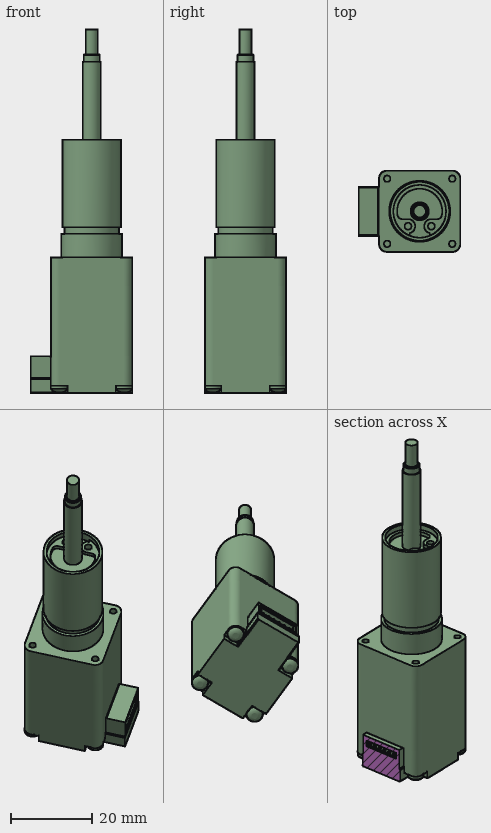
import cadquery as cq
import math

body_side = 20.0
body_corner_radius = 2.1
body_half = body_side / 2
rear_cap_top = 9.1
stator_top = 26.4
body_top = 33.35
bolt_spacing = 16.0
bolt_offset = bolt_spacing / 2
bolt_hole_diameter = 1.6
bolt_hole_depth = 2.7

notch_side = 4.1
notch_height = 1.9
screw_head_diameter = 4.0
screw_head_rim_z = 1.1
screw_head_bottom_z = 0.3
screw_head_flat_diameter = 1.6
screw_dome_mid_diameter = 3.0
screw_dome_mid_z = 0.5

flange_diameter = 15.0
flange_top = 39.2
groove_diameter = 13.5
groove_top = 40.8
sleeve_diameter = 14.5
sleeve_top = 62.3

recess_diameter = 13.0
recess_depth = 1.4
pocket_depth = 1.0
pocket_radius = 5.5
pocket_corner_radius = 1.2
pad_hole_x = 2.9
pad_hole_y = -3.7
pad_hole_diameter = 1.7
pad_hole_depth = 1.8
pad_diameter = 3.5
pad_radius = pad_diameter / 2
pad_end_angle = math.radians(-78)

shaft_diameter = 4.5
shaft_shoulder_z = 81.4
neck_diameter = 4.0
neck_top = 83.3
neck_chamfer = 0.3
tip_diameter = 3.0
shaft_top = 89.4

connector_reach = 5.0
connector_front_x = -body_half - connector_reach
lower_block_width = 12.2
lower_block_top = 3.75
lower_block_chamfer = 0.3
header_width = 11.6
header_rear_chamfer = 0.3
header_base_top = 4.6
rim_recess_width = 10.5
rim_recess_top = 8.3
rim_recess_depth = 0.3
opening_width = 9.4
opening_bottom = 5.0
opening_top = 7.8
opening_depth = 2.9
ledge_z = 6.3
ledge_depth = 3.9
pin_count = 6
pin_pitch = 1.5
pin_diameter = 0.6
pin_z = 7.0
pin_tip_depth = 1.0


def cylinder(diameter, bottom, top, x=0, y=0):
    """Vertical cylinder between two heights."""
    return cq.Workplane("XY", origin=(x, y, bottom)).circle(diameter / 2).extrude(top - bottom)


def box(x_range, width, z_range):
    """Box between two X and two Z limits, centred on Y = 0."""
    length = x_range[1] - x_range[0]
    height = z_range[1] - z_range[0]
    return cq.Workplane("XY").box(length, width, height, centered=(False, True, False)).translate(
        (x_range[0], 0, z_range[0])
    )


def body_section(bottom, top):
    """Square motor section with rounded vertical corners."""
    section = cq.Workplane("XY", origin=(0, 0, bottom)).rect(body_side, body_side).extrude(top - bottom)
    return section.edges("|Z").fillet(body_corner_radius)


def corner_points(offset):
    """Four points at equal X and Y distances from the motor axis."""
    return [(sx * offset, sy * offset) for sx in (-1, 1) for sy in (-1, 1)]


def rear_cap():
    """Lowest motor section, with a square notch in each bottom corner."""
    notches = (
        cq.Workplane("XY")
        .pushPoints(corner_points(body_half - notch_side / 2))
        .rect(notch_side, notch_side)
        .extrude(notch_height)
    )
    return body_section(0, rear_cap_top).cut(notches)


def front_cap():
    """Top motor section, with four bolt holes in its face."""
    holes = (
        cq.Workplane("XY", origin=(0, 0, body_top))
        .pushPoints(corner_points(bolt_offset))
        .circle(bolt_hole_diameter / 2)
        .extrude(-bolt_hole_depth)
    )
    return body_section(stator_top, body_top).cut(holes)


def screw_head():
    """Domed screw head hanging from the roof of a corner notch."""
    return (
        cq.Workplane("XZ")
        .moveTo(0, notch_height)
        .lineTo(screw_head_diameter / 2, notch_height)
        .lineTo(screw_head_diameter / 2, screw_head_rim_z)
        .threePointArc(
            (screw_dome_mid_diameter / 2, screw_dome_mid_z),
            (screw_head_flat_diameter / 2, screw_head_bottom_z),
        )
        .lineTo(0, screw_head_bottom_z)
        .close()
        .revolve(360, (0, 0, 0), (0, 1, 0))
    )


def end_pocket(floor_z):
    """Pocket with a large round upper part and a throat between the two pads."""
    wall_radius = recess_diameter / 2
    shelf_y = pad_hole_y + pad_radius
    corner_y = shelf_y + pocket_corner_radius
    corner_x = math.sqrt((pocket_radius - pocket_corner_radius) ** 2 - corner_y**2)
    touch_scale = pocket_radius / (pocket_radius - pocket_corner_radius)
    touch_x = corner_x * touch_scale
    touch_y = corner_y * touch_scale
    corner_mid_angle = (math.atan2(corner_y, corner_x) - math.pi / 2) / 2
    corner_mid_x = corner_x + pocket_corner_radius * math.cos(corner_mid_angle)
    corner_mid_y = corner_y + pocket_corner_radius * math.sin(corner_mid_angle)
    throat_x = pad_hole_x - pad_radius * math.cos(pad_end_angle)
    throat_y = pad_hole_y + pad_radius * math.sin(pad_end_angle)
    throat_wall_y = -math.sqrt(wall_radius**2 - throat_x**2)
    pad_inner_x = pad_hole_x - pad_radius
    return (
        cq.Workplane("XY", origin=(0, 0, floor_z))
        .moveTo(-touch_x, touch_y)
        .threePointArc((0, pocket_radius), (touch_x, touch_y))
        .threePointArc((corner_mid_x, corner_mid_y), (corner_x, shelf_y))
        .lineTo(pad_hole_x, shelf_y)
        .threePointArc((pad_inner_x, pad_hole_y), (throat_x, throat_y))
        .lineTo(throat_x, throat_wall_y)
        .threePointArc((0, -wall_radius), (-throat_x, throat_wall_y))
        .lineTo(-throat_x, throat_y)
        .threePointArc((-pad_inner_x, pad_hole_y), (-pad_hole_x, shelf_y))
        .lineTo(-corner_x, shelf_y)
        .threePointArc((-corner_mid_x, corner_mid_y), (-touch_x, touch_y))
        .close()
        .extrude(pocket_depth)
    )


def gearbox():
    """Flange, groove and sleeve, with the recessed and drilled end face."""
    recess_floor = sleeve_top - recess_depth
    housing = (
        cylinder(flange_diameter, body_top, flange_top)
        .union(cylinder(groove_diameter, flange_top, groove_top))
        .union(cylinder(sleeve_diameter, groove_top, sleeve_top))
        .cut(cylinder(recess_diameter, recess_floor, sleeve_top))
        .cut(end_pocket(recess_floor - pocket_depth))
    )
    for x in (-pad_hole_x, pad_hole_x):
        hole_bottom = recess_floor - pad_hole_depth
        housing = housing.cut(cylinder(pad_hole_diameter, hole_bottom, recess_floor, x, pad_hole_y))
    return housing


def output_shaft():
    """Shaft with a chamfered neck and a thin tip, rooted in the gearbox."""
    neck = cylinder(neck_diameter, shaft_shoulder_z, neck_top).faces(">Z").chamfer(neck_chamfer)
    return (
        cylinder(shaft_diameter, groove_top, shaft_shoulder_z)
        .union(neck)
        .union(cylinder(tip_diameter, neck_top, shaft_top))
    )


def lower_block():
    """Lower connector block with bevelled side and top front edges, reaching in to the notch inner wall."""
    rear_x = notch_side - body_half
    block = box((connector_front_x, rear_x), lower_block_width, (0, lower_block_top))
    return block.edges("|X or (|Y and <X and >Z)").chamfer(lower_block_chamfer)


def pin_header():
    """Open-fronted header with a row of round pins."""
    front = connector_front_x
    base = box((front, -body_half), header_width, (lower_block_top, header_base_top))
    shell = (
        box((front, -body_half), header_width, (header_base_top, rear_cap_top))
        .edges("|Y and >X and >Z")
        .chamfer(header_rear_chamfer)
        .cut(box((front, front + rim_recess_depth), rim_recess_width, (header_base_top, rim_recess_top)))
        .cut(box((front, front + opening_depth), opening_width, (opening_bottom, opening_top)))
        .cut(box((front, front + ledge_depth), opening_width, (ledge_z, opening_top)))
    )
    pins = (
        cq.Workplane("YZ", origin=(front + pin_tip_depth, 0, pin_z))
        .rarray(pin_pitch, 0.9, pin_count, 1)
        .circle(pin_diameter / 2)
        .extrude(ledge_depth - pin_tip_depth)
    )
    return base.union(shell, clean=False).union(pins, clean=False)


result = rear_cap()
parts = [body_section(rear_cap_top, stator_top), front_cap(), gearbox(), output_shaft()]
parts += [screw_head().translate((x, y, 0)) for x, y in corner_points(bolt_offset)]
parts += [lower_block(), pin_header()]
for part in parts:
    result = result.union(part, clean=False)